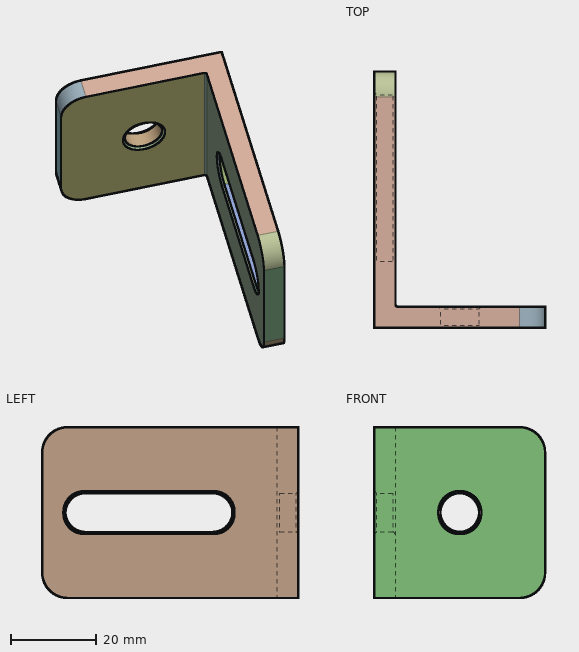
import cadquery as cq

long_leg = 60.0
short_leg = 40.0
height = 40.0
thickness = 5.0
corner_radius = 6.0
bend_radius = 0.5

opening_width = 9.0
rim_chamfer = 0.57
slot_travel = 30.0
slot_end_margin = 10.0

middle_z = height / 2
slot_center_y = long_leg - slot_end_margin - slot_travel / 2


def make_long_leg():
    """Plate in the YZ plane with a slot along Y."""
    plate = cq.Workplane("XY").box(thickness, long_leg, height, centered=False)
    plate = plate.edges("|X and >Y").fillet(corner_radius)
    slot = (
        cq.Workplane("YZ", origin=(0, slot_center_y, middle_z))
        .slot2D(slot_travel + opening_width, opening_width)
        .extrude(thickness)
    )
    return chamfer_rims(plate.cut(slot), "X")


def make_short_leg():
    """Plate in the XZ plane with a round hole in its middle."""
    plate = cq.Workplane("XY").box(short_leg, thickness, height, centered=False)
    plate = plate.edges("|Y and >X").fillet(corner_radius)
    hole = (
        cq.Workplane("XZ", origin=(short_leg / 2, 0, middle_z))
        .circle(opening_width / 2)
        .extrude(-thickness)
    )
    return chamfer_rims(plate.cut(hole), "Y")


def chamfer_rims(plate, axis):
    """Chamfer the opening's rims on the two broad faces normal to axis."""
    for side in (f"<{axis}", f">{axis}"):
        broad_face = plate.faces(side).val()
        plate = plate.newObject(broad_face.innerWires()[0].Edges()).chamfer(rim_chamfer)
    return plate


bracket = make_long_leg().union(make_short_leg())

inner_corner = cq.selectors.NearestToPointSelector((thickness, thickness, middle_z))
result = bracket.edges("|Z").edges(inner_corner).fillet(bend_radius)